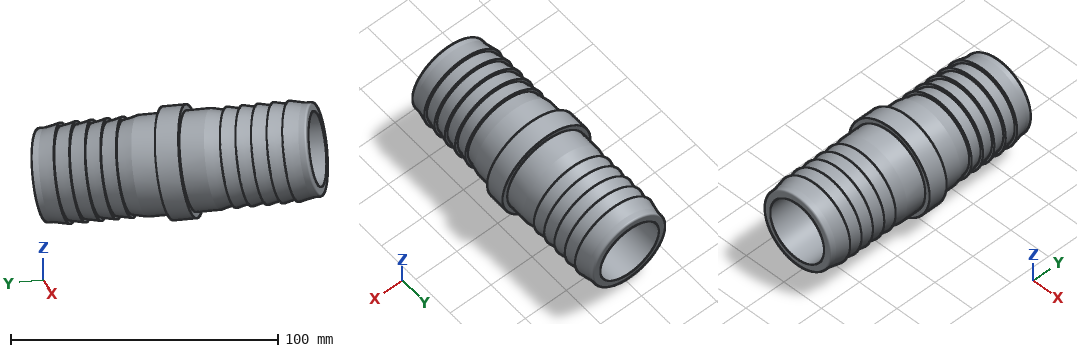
import cadquery as cq

total_length = 106.0
bore_diameter = 28.6

flange_diameter = 43.0
flange_width = 9.0
collar_diameter = 38.4

barb_count = 6
barb_pitch = 6.0
barb_crest_diameter = 38.25
barb_land_width = 0.12

tip_diameter = 35.7
tip_length = 3.0
tip_rim_radius = 0.8

half_length = total_length / 2
barbs_outer_end = half_length - tip_length
barbs_inner_end = barbs_outer_end - barb_count * barb_pitch
flange_half_width = flange_width / 2


def add_barbs(profile):
    """Draw the barbs outward from the collar to the plain tip."""
    for index in range(barb_count):
        inner_end = barbs_inner_end + index * barb_pitch
        outer_end = inner_end + barb_pitch
        is_innermost = index == 0
        if not is_innermost:
            profile = profile.lineTo(barb_crest_diameter / 2, inner_end)
            profile = profile.lineTo(barb_crest_diameter / 2, inner_end + barb_land_width)
        profile = profile.lineTo(tip_diameter / 2, outer_end)
    return profile


def make_barbed_end():
    """Barbed spigot at the +Y end, solid, turned about the Y axis from the flange face."""
    profile = (
        cq.Workplane("XY")
        .moveTo(0, flange_half_width)
        .lineTo(collar_diameter / 2, flange_half_width)
        .lineTo(collar_diameter / 2, barbs_inner_end)
    )
    profile = add_barbs(profile)
    profile = (
        profile.lineTo(tip_diameter / 2, half_length - tip_rim_radius)
        .radiusArc((tip_diameter / 2 - tip_rim_radius, half_length), -tip_rim_radius)
        .lineTo(0, half_length)
        .close()
    )
    return profile.revolve(360, (0, 0, 0), (0, 1, 0))


def make_cylinder(diameter, length):
    """Cylinder along Y, centred on the origin."""
    return cq.Workplane("XZ", origin=(0, length / 2, 0)).circle(diameter / 2).extrude(length)


flange = make_cylinder(flange_diameter, flange_width)
barbed_end = make_barbed_end()
bore = make_cylinder(bore_diameter, total_length)
result = flange.union(barbed_end).union(barbed_end.mirror("XZ")).cut(bore)